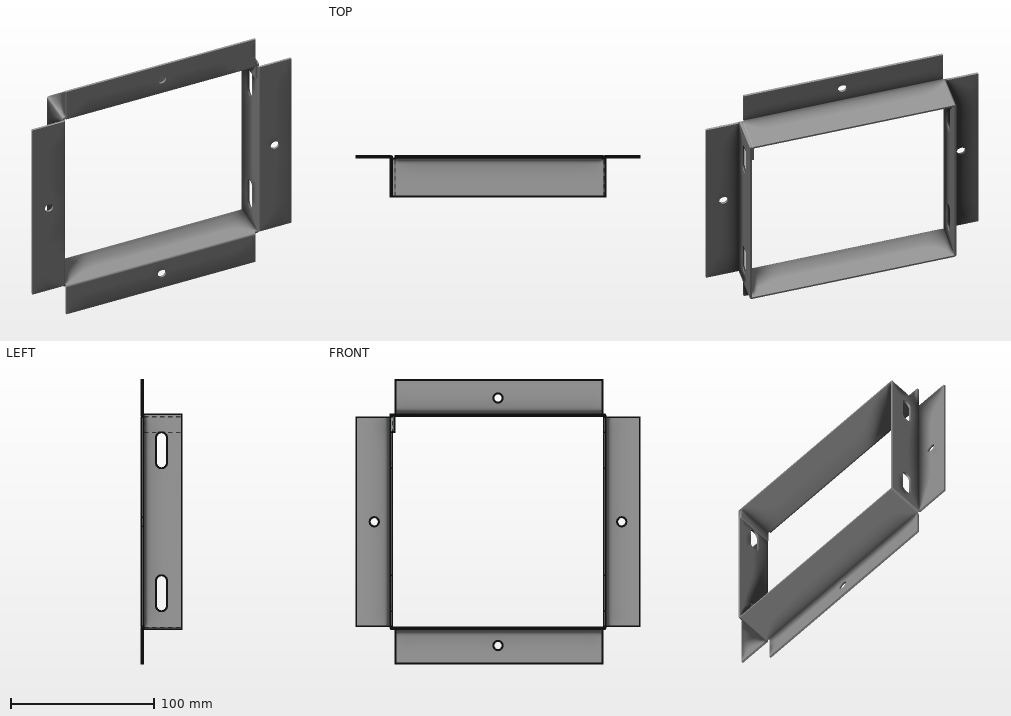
import cadquery as cq

flange_span = 197.8
depth = 28.5
frame_side = 150.1
sheet = 1.5
inner_bend = 0.2

flange_end = 73.0
lap_side_flange_end = 71.5

tab_length = 12.7

hole_diameter = 6.3
hole_offset = 86.2
slot_width = 7.5
slot_length = 25.0
slot_offset = 49.8

outer_bend = inner_bend + sheet
half_frame = frame_side / 2
half_inner = half_frame - sheet
wall_depth = depth - outer_bend


def block(x_min, x_max, y_min, y_max, z_min, z_max):
    """Axis-aligned box given by its limits."""
    size = (x_max - x_min, y_max - y_min, z_max - z_min)
    return cq.Workplane("XY").box(*size, centered=False).translate((x_min, y_min, z_min))


def make_walls():
    """Four-sided sheet band, open at the upper-left corner where its ends overlap."""
    band = block(-half_frame, half_frame, 0, wall_depth, -half_frame, half_frame)
    band = band.edges("|Y and (>X or <Z)").fillet(outer_bend)
    opening = block(-half_inner, half_inner, 0, wall_depth, -half_inner, half_inner)
    opening = opening.edges("|Y and (>X or <Z)").fillet(inner_bend)
    return band.cut(opening)


def add_lap_tab(body):
    """Bend the end of the top wall down along the inside of the left wall."""
    tab_left = -half_inner
    tab_right = tab_left + sheet
    tab = block(tab_left, tab_right, 0, wall_depth, half_frame - tab_length, half_frame)

    bend_corner = block(
        tab_right, tab_right + inner_bend, 0, wall_depth, half_inner - inner_bend, half_inner
    )
    bend_axis = (tab_left + outer_bend, half_frame - outer_bend)
    inner_round = y_cylinder(*bend_axis, inner_bend)
    body = body.union(tab).union(bend_corner.cut(inner_round))

    outside = block(
        tab_left, tab_left + outer_bend, 0, wall_depth, half_frame - outer_bend, half_frame
    )
    return body.cut(outside.cut(y_cylinder(*bend_axis, outer_bend)))


def y_cylinder(x, z, radius):
    """Cylinder along Y through the whole depth."""
    return cq.Workplane("XZ").center(x, z).circle(radius).extrude(-depth)


def make_right_flange(z_min, z_max):
    """Bend and outward flange on the rear edge of the right wall, with its hole."""
    bend_end = half_inner + outer_bend
    diagonal = 0.5 ** 0.5
    profile = (
        cq.Workplane("XY")
        .moveTo(half_inner, wall_depth)
        .threePointArc(
            (bend_end - outer_bend * diagonal, wall_depth + outer_bend * diagonal),
            (bend_end, depth),
        )
        .lineTo(flange_span / 2, depth)
        .lineTo(flange_span / 2, depth - sheet)
        .lineTo(bend_end, depth - sheet)
        .threePointArc(
            (bend_end - inner_bend * diagonal, wall_depth + inner_bend * diagonal),
            (half_frame, wall_depth),
        )
        .close()
    )
    flange = profile.extrude(z_max - z_min).translate((0, 0, z_min))
    return flange.cut(y_cylinder(hole_offset, 0, hole_diameter / 2))


def add_flanges(body):
    """One flange per wall; the top and bottom flanges are shorter at the lap side."""
    side_flange = make_right_flange(-flange_end, flange_end)
    bottom_flange = make_right_flange(-lap_side_flange_end, flange_end)
    bottom_flange = bottom_flange.rotate((0, 0, 0), (0, 1, 0), 90)
    body = body.union(side_flange).union(side_flange.mirror("YZ"))
    return body.union(bottom_flange).union(bottom_flange.mirror("XY"))


def cut_slots(body):
    """Two upright slots through the left and right walls."""
    slots = (
        cq.Workplane("YZ")
        .pushPoints([(depth / 2, -slot_offset), (depth / 2, slot_offset)])
        .slot2D(slot_length, slot_width, 90)
        .extrude(half_frame, both=True)
    )
    return body.cut(slots)


result = cut_slots(add_flanges(add_lap_tab(make_walls())))